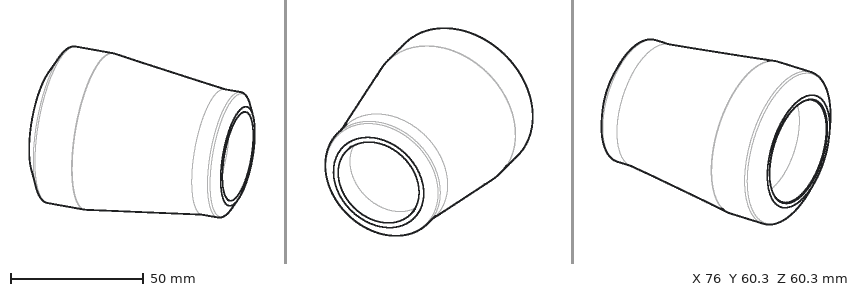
import cadquery as cq
import math

length = 76.0
large_radius = 60.3 / 2
small_radius = 48.3 / 2
large_bore_radius = 40.3 / 2
small_bore_radius = 34.1 / 2

taper_start = 20.1
taper_end = 66.1
bore_taper_start = 12.5

land_width = 2.0
bevel_slope = math.tan(math.radians(30))
bevel_edge_radius = 1.0

bore_mouth_chamfer = 0.3
taper_start_radius = 2.0


def bevel_length(outer_radius, bore_radius):
    """Axial length of the bevel from the land out to the outer cylinder."""
    return (outer_radius - bore_radius - land_width) * bevel_slope


large_bevel = bevel_length(large_radius, large_bore_radius)
small_bevel = bevel_length(small_radius, small_bore_radius)

profile = (
    cq.Workplane("XZ")
    .moveTo(bore_mouth_chamfer, large_bore_radius)
    .lineTo(0, large_bore_radius + bore_mouth_chamfer)
    .lineTo(0, large_bore_radius + land_width)
    .lineTo(large_bevel, large_radius)
    .lineTo(taper_start, large_radius)
    .lineTo(taper_end, small_radius)
    .lineTo(length - small_bevel, small_radius)
    .lineTo(length, small_bore_radius + land_width)
    .lineTo(length, small_bore_radius)
    .lineTo(taper_end, small_bore_radius)
    .lineTo(bore_taper_start, large_bore_radius)
    .close()
)
body = profile.revolve(360, (0, 0, 0), (1, 0, 0))


def edges_at(solid, station):
    """Select the circular edges lying in the plane X = station."""
    reach = large_radius + 0.75
    margin = 0.1
    box = cq.selectors.BoxSelector(
        (station - margin, -reach, -reach), (station + margin, reach, reach), boundingbox=True
    )
    return solid.edges(box)


edge_rounds = (
    (large_bevel, bevel_edge_radius),
    (taper_start, taper_start_radius),
    (length - small_bevel, bevel_edge_radius),
)
for station, radius in edge_rounds:
    body = edges_at(body, station).fillet(radius)

result = body